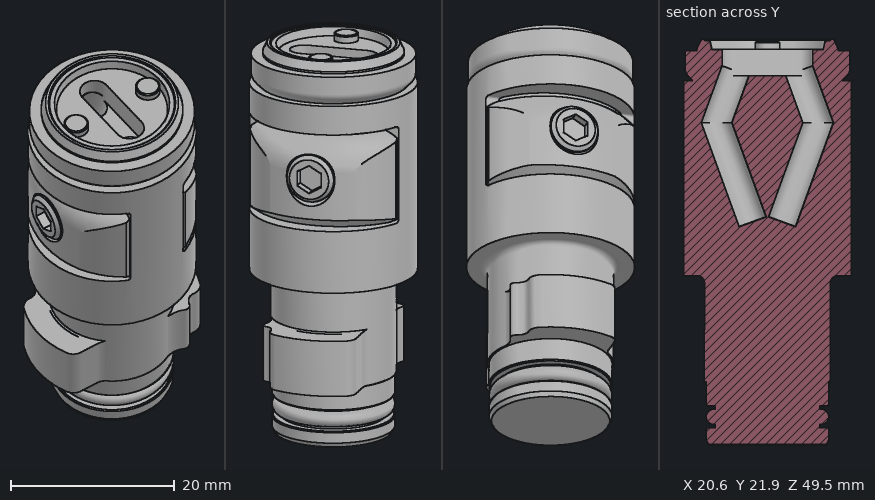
import cadquery as cq
import math

total_height = 49.5
body_radius = 10.3
body_bottom = 20.6
body_top = 44.45
neck_radius = 7.7
neck_bottom = 7.6
neck_fillet = 0.9
tail_radius = 7.5
tail_groove_radius = 6.45
tail_groove_bottom = 2.1
tail_groove_top = 4.7
tail_edge_chamfer = 0.15
tail_end_chamfer = 0.3
tail_end_chamfer_height = 0.6
seal_section_radius = 0.965

collar_radius = 10.1
collar_top = 48.1
collar_fillet_start = 45.85
collar_fillet_radius = 1.1
rim_base_radius = 8.65
rim_base_height = 48.35
rim_top_radius = 8.1

insert_radius = 7.75
insert_drop = 0.15
cup_radius = 7.05
cup_wall_taper = 0.25
cup_floor = 48.25
pin_radius = 1.5
pin_top = 49.2
pin_chamfer = 0.15
pin_offset = 5.35
slot_length = 11.0
slot_width = 3.55
slot_depth = 3.2
channel_radius = 1.75
channel_offset = 4.1
channel_tilt = 20.0
channel_bend_depth = 5.75
channel_end_depth = 17.8
channel_lead = 0.65

window_wall = 3.9
window_bottom = 28.45
window_top_front = 40.55
window_top_back = 40.8
window_corner_radius = 0.45
cheek_half_width = 9.3
cheek_front = 9.95
cheek_axis_offset = 2.85
cheek_crown_start = 35.95
cheek_crown_radius = 4.8
cheek_neck_depth = 2.45
cheek_chamfer_start = 29.8
cheek_chamfer_depth = 1.9

screw_height = 34.95
screw_head_radius = 2.995
screw_head_face = 10.25
screw_head_chamfer = 0.5
screw_sink_radius = 3.45
socket_flats = 3.05
socket_depth = 1.5
socket_tip_depth = 0.9
socket_tip_flat = 0.05

lug_top = 14.65
lug_root_fillet = 0.25
lug_root_overlap = 0.01
lug_outer_radius = 10.965
lug_tip_half_width = 4.48
lug_side = 5.5
lug_corner_radius = 1.65
lug_side_outer = 8.55
lug_side_inner = 6.0
hook_root_radius = 3.05
hook_nose_radius = 0.8
hook_hollow_radius = 1.45
hook_root_angle = 22.5
hook_nose_start = (-7.05, -5.9)
hook_nose_end = (-6.65, -6.95)
hook_hollow_end = (-5.45, -8.35)

DIAGONAL = math.sqrt(0.5)


def turned_body():
    """Revolved outline of the body, from the tail end up to the conical rim."""
    fillet_end_radius = collar_radius - collar_fillet_radius * (1 - DIAGONAL)
    fillet_end_height = collar_fillet_start - collar_fillet_radius * DIAGONAL
    undercut_radius = fillet_end_radius - (fillet_end_height - body_top)
    edge_radius = tail_radius - tail_edge_chamfer
    profile = (
        cq.Workplane("XZ")
        .moveTo(0, 0)
        .lineTo(tail_radius - tail_end_chamfer, 0)
        .lineTo(tail_radius, tail_end_chamfer_height)
        .lineTo(tail_radius, tail_groove_bottom - tail_edge_chamfer)
        .lineTo(edge_radius, tail_groove_bottom)
        .lineTo(tail_groove_radius, tail_groove_bottom)
        .lineTo(tail_groove_radius, tail_groove_top)
        .lineTo(edge_radius, tail_groove_top)
        .lineTo(tail_radius, tail_groove_top + tail_edge_chamfer)
        .lineTo(tail_radius, neck_bottom)
        .lineTo(neck_radius, neck_bottom)
        .lineTo(neck_radius, body_bottom - neck_fillet)
        .radiusArc((neck_radius + neck_fillet, body_bottom), neck_fillet)
        .lineTo(body_radius, body_bottom)
        .lineTo(body_radius, body_top)
        .lineTo(undercut_radius, body_top)
        .lineTo(fillet_end_radius, fillet_end_height)
        .radiusArc((collar_radius, collar_fillet_start), -collar_fillet_radius)
        .lineTo(collar_radius, collar_top)
        .lineTo(rim_base_radius, collar_top)
        .lineTo(rim_base_radius, rim_base_height)
        .lineTo(rim_top_radius, total_height)
        .lineTo(0, total_height)
        .close()
    )
    return profile.revolve(360, (0, 0, 0), (0, 1, 0))


def seal_ring():
    """O-ring seated in the tail groove."""
    center_height = (tail_groove_bottom + tail_groove_top) / 2
    section = cq.Workplane("XZ").center(tail_radius - seal_section_radius, center_height)
    axis_position = seal_section_radius - tail_radius
    return section.circle(seal_section_radius).revolve(360, (axis_position, 0, 0), (axis_position, 1, 0))


def cup_recess():
    """Stepped recess in the top face, down to the cup floor."""
    floor_radius = cup_radius - cup_wall_taper
    insert_top = total_height - insert_drop
    profile = (
        cq.Workplane("XZ")
        .moveTo(0, cup_floor)
        .lineTo(floor_radius, cup_floor)
        .lineTo(cup_radius, insert_top)
        .lineTo(insert_radius - insert_drop, insert_top)
        .lineTo(insert_radius, total_height)
        .lineTo(0, total_height)
        .close()
    )
    return profile.revolve(360, (0, 0, 0), (0, 1, 0))


def cup_pins():
    """Two pins standing on the cup floor, just below the rim."""
    pins = cq.Workplane("XY").workplane(offset=cup_floor).pushPoints([(0, pin_offset), (0, -pin_offset)])
    return pins.circle(pin_radius).extrude(pin_top - cup_floor).faces(">Z").chamfer(pin_chamfer)


def slot_and_channels():
    """Slot in the cup floor with a bent channel at each end."""
    slot_floor = cup_floor - slot_depth
    cavity = (
        cq.Workplane("XY").workplane(offset=slot_floor)
        .slot2D(slot_length, slot_width).extrude(slot_depth)
    )
    bend_height = slot_floor - channel_bend_depth
    tilt = math.radians(channel_tilt)
    overrun = 2 * channel_radius
    upper_length = channel_lead + channel_bend_depth / math.cos(tilt) + overrun
    lower_length = (channel_end_depth - channel_bend_depth) / math.cos(tilt) + overrun
    bend_plane = cq.Workplane("XY").workplane(offset=bend_height)
    above_bend = bend_plane.circle(body_radius).extrude(total_height - bend_height)
    below_bend = bend_plane.circle(body_radius).extrude(-bend_height)
    for side in (-1, 1):
        outward = cq.Vector(side * math.sin(tilt), 0, -math.cos(tilt))
        inward = cq.Vector(-side * math.sin(tilt), 0, -math.cos(tilt))
        mouth = cq.Vector(side * channel_offset, 0, slot_floor)
        bend = mouth + outward * (channel_bend_depth / math.cos(tilt))
        upper_start = mouth - outward * channel_lead
        lower_start = bend - inward * overrun
        upper_leg = cq.Workplane(cq.Solid.makeCylinder(channel_radius, upper_length, upper_start, outward))
        lower_leg = cq.Workplane(cq.Solid.makeCylinder(channel_radius, lower_length, lower_start, inward))
        cavity = cavity.union(upper_leg.intersect(above_bend)).union(lower_leg.intersect(below_bend))
    return cavity


def window(window_top):
    """Flat-backed opening across the -Y side, with rounded inner edges."""
    height = window_top - window_bottom
    block = cq.Workplane("XY").box(2 * body_radius + 1, body_radius, height, centered=(True, False, False))
    block = block.edges("|X and >Y").fillet(window_corner_radius)
    return block.translate((0, -window_wall - body_radius, window_bottom))


def cheek(window_top):
    """Crowned block left standing in the -Y window, turned about an axis beyond the body centre."""
    radius = cheek_front + cheek_axis_offset
    neck = radius - cheek_neck_depth
    crown_rise = math.sqrt(cheek_crown_radius**2 - (cheek_crown_radius - cheek_neck_depth)**2)
    crown = (
        cq.Workplane("XZ")
        .moveTo(0, window_bottom)
        .lineTo(radius - cheek_chamfer_depth, window_bottom)
        .lineTo(radius, cheek_chamfer_start)
        .lineTo(radius, cheek_crown_start)
        .radiusArc((neck, cheek_crown_start + crown_rise), -cheek_crown_radius)
        .lineTo(neck, window_top)
        .lineTo(0, window_top)
        .close()
        .revolve(360, (0, 0, 0), (0, 1, 0))
        .translate((0, cheek_axis_offset, 0))
    )
    limits = (
        cq.Workplane("XY")
        .box(2 * cheek_half_width, 2 * body_radius, total_height, centered=(True, False, False))
        .translate((0, -2 * body_radius, 0))
    )
    return crown.intersect(limits)


def screw_sink():
    """Conical seat around the screw head in the -Y cheek."""
    inner_radius = screw_head_radius - 0.5
    outer_radius = screw_sink_radius + 0.5
    depth = outer_radius - inner_radius
    base = cq.Vector(0, -cheek_front + screw_sink_radius - inner_radius, screw_height)
    return cq.Workplane(cq.Solid.makeCone(inner_radius, outer_radius, depth, base, cq.Vector(0, -1, 0)))


def screw():
    """Chamfered screw head on the -Y side with a hexagon socket ending in a six-sided point."""
    face = cq.Workplane("XZ", origin=(0, -screw_head_face, screw_height))
    head = face.circle(screw_head_radius).extrude(-(screw_head_face - window_wall))
    head = head.faces("<Y").chamfer(screw_head_chamfer)
    corner_radius = socket_flats / math.sqrt(3)
    corners = [
        (corner_radius * math.sin(math.radians(60 * i)), corner_radius * math.cos(math.radians(60 * i)))
        for i in range(6)
    ]
    socket = face.polyline(corners).close().extrude(-socket_depth)
    tip_taper = math.degrees(math.atan((socket_flats - socket_tip_flat) / 2 / socket_tip_depth))
    tip_base = face.workplane(offset=-socket_depth).polyline(corners).close()
    tip = tip_base.extrude(-socket_tip_depth, taper=tip_taper)
    return head.cut(socket).cut(tip)


def lug():
    """Bayonet lug on the -Y side: plain on its +X flank, hooked on its -X flank."""
    root_radius = neck_radius - lug_root_overlap
    hook_root = (
        -root_radius * math.cos(math.radians(hook_root_angle)),
        -root_radius * math.sin(math.radians(hook_root_angle)),
    )
    tip_y = -math.sqrt(lug_outer_radius**2 - lug_tip_half_width**2)
    fillet_center = (lug_side + lug_corner_radius, -lug_side_inner)
    tangent_ratio = root_radius / math.hypot(*fillet_center)
    plain_root = (fillet_center[0] * tangent_ratio, fillet_center[1] * tangent_ratio)
    outline = (
        cq.Workplane("XY").workplane(offset=neck_bottom)
        .moveTo(0, 0)
        .lineTo(*hook_root)
        .radiusArc(hook_nose_start, hook_root_radius)
        .radiusArc(hook_nose_end, -hook_nose_radius)
        .radiusArc(hook_hollow_end, hook_hollow_radius)
        .radiusArc((-lug_tip_half_width, tip_y), -lug_corner_radius)
        .radiusArc((lug_tip_half_width, tip_y), -lug_outer_radius)
        .radiusArc((lug_side, -lug_side_outer), -lug_corner_radius)
        .lineTo(lug_side, -lug_side_inner)
        .radiusArc(plain_root, lug_corner_radius)
        .close()
        .extrude(lug_top + lug_root_fillet - neck_bottom)
    )
    envelope = (
        cq.Workplane("XZ")
        .moveTo(0, neck_bottom)
        .lineTo(lug_outer_radius + 0.5, neck_bottom)
        .lineTo(lug_outer_radius + 0.5, lug_top)
        .lineTo(neck_radius + lug_root_fillet, lug_top)
        .radiusArc((root_radius, lug_top + lug_root_fillet), lug_root_fillet + lug_root_overlap)
        .lineTo(0, lug_top + lug_root_fillet)
        .close()
        .revolve(360, (0, 0, 0), (0, 1, 0))
    )
    return outline.intersect(envelope)


def half_turn(shape):
    return shape.rotate((0, 0, 0), (0, 0, 1), 180)


result = turned_body().union(lug()).union(half_turn(lug())).union(seal_ring())
result = result.cut(cup_recess()).union(cup_pins()).cut(slot_and_channels())

front_clearance = window(window_top_front).cut(cheek(window_top_front))
back_clearance = window(window_top_back).cut(cheek(window_top_back))
result = result.cut(front_clearance).cut(half_turn(back_clearance))
result = result.cut(screw_sink()).cut(half_turn(screw_sink()))
result = result.union(screw()).union(half_turn(screw()))